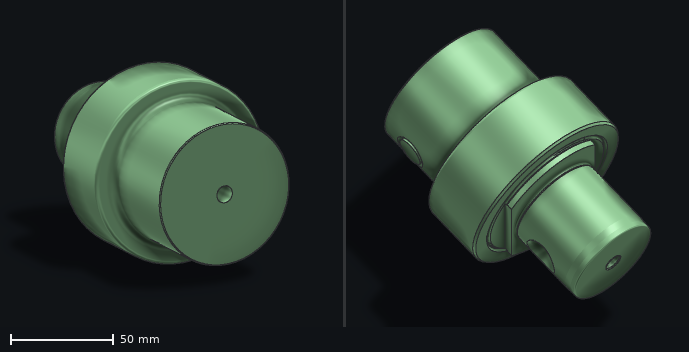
import cadquery as cq
import math

total_length = 130.0
shank_length = 45.0
collar_start = 49.7
collar_width = 35.4
collar_end = collar_start + collar_width

shank_radius = 25.0
lead_radius = 24.7
lead_length = 3.4
lead_taper_length = 3.6
tip_round = 0.9
undercut_start = 43.0
undercut_taper_length = 0.6
undercut_radius = 24.7
root_fillet = 0.9

disc_radius = 37.3
disc_width = 3.2
disc_end = shank_length + disc_width
flat_half_width = 27.0
groove_neck_radius = 36.7
groove_neck_end = collar_start
groove_fillet = 1.4
groove_mouth_radius = 39.0

collar_diameter = 94.0
collar_radius = collar_diameter / 2
collar_chamfer_width = 1.3
collar_chamfer_depth = 0.9
collar_rear_round = 2.0
rear_radius = 36.1
rear_fillet = 4.0
rear_chamfer = 0.5

bore_radius = 4.3
bore_chamfer = 0.5

side_hole_offset = 19.5
seat_x = shank_length - side_hole_offset
seat_radius = 10.3
seat_half_angle = 35.0
screw_x = total_length - side_hole_offset
screw_radius = 7.5
screw_length = 2 * screw_radius
countersink_radius = 9.5


def turned_blank():
    """Solid of revolution about X; profile points are (x, radius)."""
    root_start = shank_length - root_fillet
    groove_taper = disc_radius - groove_neck_radius
    profile = (
        cq.Workplane("XZ")
        .lineTo(0, lead_radius - tip_round)
        .radiusArc((tip_round, lead_radius), tip_round)
        .lineTo(lead_length, lead_radius)
        .lineTo(lead_length + lead_taper_length, shank_radius)
        .lineTo(undercut_start, shank_radius)
        .lineTo(undercut_start + undercut_taper_length, undercut_radius)
        .lineTo(root_start, undercut_radius)
        .radiusArc((shank_length, undercut_radius + root_fillet), -root_fillet)
        .lineTo(shank_length, disc_radius)
        .lineTo(disc_end, disc_radius)
        .lineTo(disc_end + groove_taper, groove_neck_radius)
        .lineTo(groove_neck_end, groove_neck_radius)
        .radiusArc((groove_neck_end + groove_fillet, groove_neck_radius + groove_fillet), -groove_fillet)
        .lineTo(collar_start, groove_mouth_radius)
        .lineTo(collar_start, collar_radius - collar_chamfer_depth)
        .lineTo(collar_start + collar_chamfer_width, collar_radius)
        .lineTo(collar_end - collar_rear_round, collar_radius)
        .radiusArc((collar_end, collar_radius - collar_rear_round), collar_rear_round)
        .lineTo(collar_end, rear_radius + rear_fillet)
        .radiusArc((collar_end + rear_fillet, rear_radius), -rear_fillet)
        .lineTo(total_length - rear_chamfer, rear_radius)
        .lineTo(total_length, rear_radius - rear_chamfer)
        .lineTo(total_length, 0)
        .close()
    )
    return profile.revolve(360, (0, 0, 0), (1, 0, 0))


def drive_flat(side):
    """Material cut from the disc to leave a flat; side is +1 for +Y and -1 for -Y."""
    depth = groove_mouth_radius - flat_half_width
    return cq.Workplane("XY").box(
        collar_start - shank_length, depth, 2 * disc_radius, centered=(False, True, True)
    ).translate((shank_length, side * (flat_half_width + depth / 2), 0))


def axial_bore():
    """Through bore along X with a chamfered mouth in the shank end."""
    mouth_radius = bore_radius + bore_chamfer
    return (
        cq.Workplane("XZ")
        .lineTo(0, mouth_radius)
        .lineTo(bore_chamfer, bore_radius)
        .lineTo(total_length, bore_radius)
        .lineTo(total_length, 0)
        .close()
        .revolve(360, (0, 0, 0), (1, 0, 0))
    )


def inward_cone(x, surface_radius, mouth_radius, end_radius, depth):
    """Cone along Y that narrows from mouth_radius, at Y = surface_radius, towards the axis."""
    mouth_center = cq.Vector(x, surface_radius, 0)
    return cq.Workplane(
        obj=cq.Solid.makeCone(mouth_radius, end_radius, depth, pnt=mouth_center, dir=cq.Vector(0, -1, 0))
    )


def conical_seat():
    """Conical recess running into the shank from the +Y side."""
    depth = seat_radius / math.tan(math.radians(seat_half_angle))
    return inward_cone(seat_x, shank_radius, seat_radius, 0, depth)


def screw_countersink():
    """45 degree countersink that opens the screw hole around the screw's outer end."""
    depth = countersink_radius - screw_radius
    return inward_cone(screw_x, rear_radius, countersink_radius, screw_radius, depth)


def clamp_screw():
    """Plain cylindrical screw along Y, its outer face level with the rear cylinder's +Y line."""
    outer_center = cq.Vector(screw_x, rear_radius, 0)
    return cq.Workplane(
        obj=cq.Solid.makeCylinder(screw_radius, screw_length, pnt=outer_center, dir=cq.Vector(0, -1, 0))
    )


def adapter_body(screw):
    """Turned body with its flats, bore, seat and the blind hole that the screw fills."""
    body = turned_blank()
    for side in (1, -1):
        body = body.cut(drive_flat(side))
    body = body.cut(axial_bore()).cut(conical_seat())
    return body.cut(screw_countersink()).cut(screw)


screw = clamp_screw()
adapter = adapter_body(screw)

result = cq.Compound.makeCompound([*adapter.solids().vals(), screw.val()])